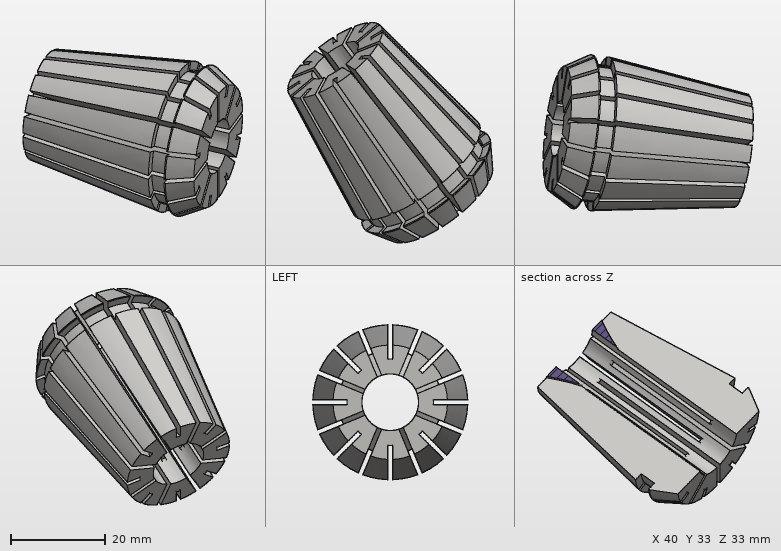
import cadquery as cq
import math

length = 40.0
max_diameter = 33.0
max_radius = max_diameter / 2
bore_radius = 6.0
front_taper = 8.0
rear_bevel = 30.0
groove_start = 30.8
groove_end = 34.4
groove_radius = 14.6
rim_width = 0.3

slot_width = 1.0
slots_per_set = 8
slot_pitch = 360.0 / slots_per_set
saw_radius = 40.0
rear_slot_start = 7.1
rear_slot_floor_radius = 9.2
front_slot_end = 33.1
front_slot_floor_radius = 11.0
cut_clearance = 0.4
cut_radius = max_radius + cut_clearance


def make_body():
    """Collet blank: long cone, nut groove, rim and short cone, bored through."""
    bevel_start = groove_end + rim_width
    front_radius = max_radius - groove_start * math.tan(math.radians(front_taper))
    rear_radius = max_radius - (length - bevel_start) * math.tan(math.radians(rear_bevel))
    profile = [
        (0, bore_radius),
        (0, front_radius),
        (groove_start, max_radius),
        (groove_start, groove_radius),
        (groove_end, groove_radius),
        (groove_end, max_radius),
        (bevel_start, max_radius),
        (length, rear_radius),
        (length, bore_radius),
    ]
    return cq.Workplane("XY").polyline(profile).close().revolve(360, (0, 0, 0), (1, 0, 0))


def make_slot(break_x, open_x, floor_x, floor_radius, angle):
    """Radial slot open at open_x, its arc floor rising from the bore to floor_radius."""
    run = floor_x - break_x
    rise = floor_radius - bore_radius
    chord = math.hypot(run, rise)
    sag = saw_radius - math.sqrt(saw_radius**2 - (chord / 2) ** 2)
    floor_middle = (
        (break_x + floor_x) / 2 + sag * math.copysign(rise, run) / chord,
        (bore_radius + floor_radius) / 2 - sag * abs(run) / chord,
    )
    slot = (
        cq.Workplane("XZ")
        .moveTo(open_x, 0)
        .lineTo(break_x, 0)
        .lineTo(break_x, bore_radius)
        .threePointArc(floor_middle, (floor_x, floor_radius))
        .lineTo(floor_x, cut_radius)
        .lineTo(open_x, cut_radius)
        .close()
        .extrude(slot_width / 2, both=True)
    )
    return slot.rotate((0, 0, 0), (1, 0, 0), angle)


result = make_body()
for index in range(slots_per_set):
    rear_angle = index * slot_pitch
    front_angle = rear_angle + slot_pitch / 2
    result = result.cut(make_slot(rear_slot_start, length, 0, rear_slot_floor_radius, rear_angle))
    result = result.cut(make_slot(front_slot_end, 0, length, front_slot_floor_radius, front_angle))